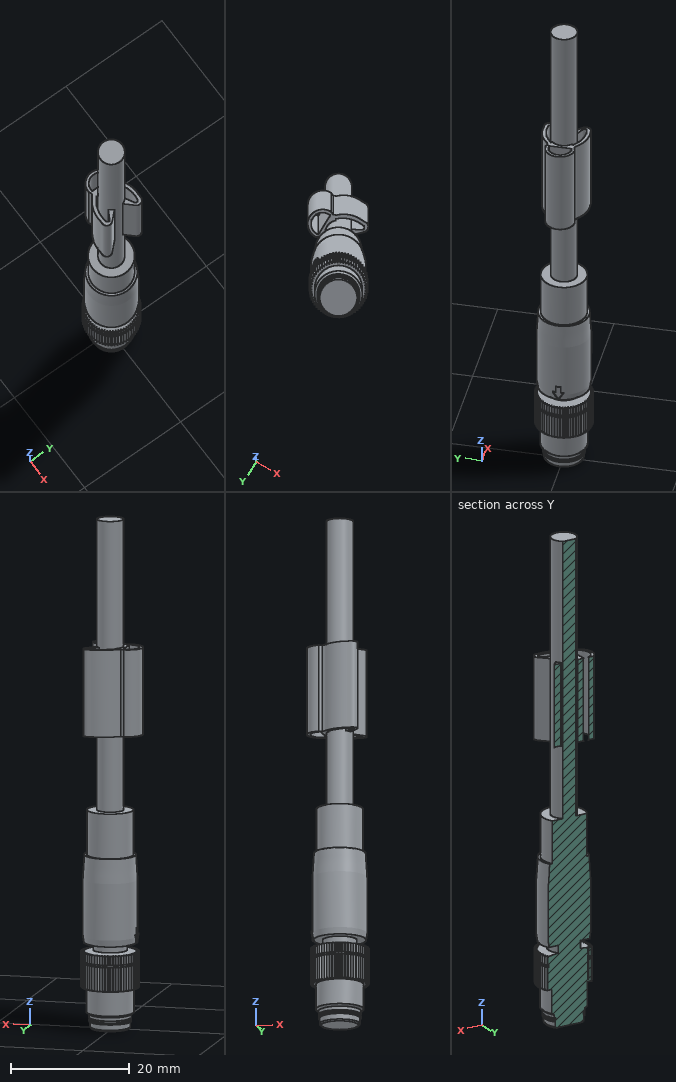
import cadquery as cq
import math

total_length = 87.3
overall_width = 10.6
ring_diameter = 9.9
cable_radius = 2.3

tip_chamfer = 0.3
tip_radius = 3.4
tip_rim_radius = 3.6
tip_groove_radius = 3.3
tip_rim_bottom = 1.2
tip_rim_top = 1.5
tip_groove_top = 1.8
tip_collar_top = 2.45
sleeve_bottom = 2.8
sleeve_radius = 4.0

ring_bottom = 7.1
ring_top = 13.45
ring_rim_top = 13.2
ring_radius = ring_diameter / 2
ring_chamfer = 0.2
ring_groove_bottom = 11.3
ring_groove_top = 11.6
tooth_count = 60
tooth_depth = 0.4

neck_radius = 2.9
body_bottom = 14.75
body_chamfer_top = 15.9
body_cone_bottom = 25.6
body_top = 29.8
body_radius = 4.6
body_bottom_radius = 4.45
body_top_radius = 4.4
grip_radius = 3.9
grip_top = 37.45

clip_bottom = 50.55
clip_top = 65.5
nose_radius = 2.5
nose_reach = overall_width - ring_radius
nose_center = nose_radius - nose_reach
nose_wall = 0.57
nose_pocket_flat = -2.8

arrow_tip = 14.8
arrow_shoulder = 16.3
arrow_top = 17.5
arrow_half_width = 1.0
stem_half_width = 0.4
arrow_relief = 0.1
arrow_reach = body_radius + arrow_relief


def make_plug():
    """Turned core from the mating end up through the cable."""
    profile = [
        (0, 0),
        (tip_radius - tip_chamfer, 0),
        (tip_radius, tip_chamfer),
        (tip_radius, tip_rim_bottom),
        (tip_rim_radius, tip_rim_bottom),
        (tip_rim_radius, tip_rim_top),
        (tip_groove_radius, tip_rim_top),
        (tip_groove_radius, tip_groove_top),
        (tip_rim_radius, tip_groove_top),
        (tip_rim_radius, tip_collar_top),
        (sleeve_radius, sleeve_bottom),
        (sleeve_radius, ring_bottom),
        (neck_radius, ring_bottom),
        (neck_radius, body_bottom),
        (body_bottom_radius, body_bottom),
        (body_radius, body_chamfer_top),
        (body_radius, body_cone_bottom),
        (body_top_radius, body_top),
        (grip_radius, body_top),
        (grip_radius, grip_top),
        (cable_radius, grip_top),
        (cable_radius, total_length),
        (0, total_length),
    ]
    return cq.Workplane("XZ").polyline(profile).close().revolve(360, (0, 0), (0, 1))


def make_knurled_ring():
    """Coupling ring with V-shaped teeth, a shallow conical top, a bottom chamfer and a thin groove."""
    root_radius = ring_radius - tooth_depth
    profile = [
        (0, ring_bottom),
        (ring_radius - ring_chamfer, ring_bottom),
        (ring_radius, ring_bottom + ring_chamfer),
        (ring_radius, ring_groove_bottom),
        (root_radius, ring_groove_bottom),
        (root_radius, ring_groove_top),
        (ring_radius, ring_groove_top),
        (ring_radius, ring_rim_top),
        (neck_radius, ring_top),
        (0, ring_top),
    ]
    blank = cq.Workplane("XZ").polyline(profile).close().revolve(360, (0, 0), (0, 1))

    teeth = []
    for half_step in range(2 * tooth_count):
        radius = root_radius if half_step % 2 else ring_radius
        angle = math.pi * half_step / tooth_count
        teeth.append((radius * math.cos(angle), radius * math.sin(angle)))
    toothed_bar = cq.Workplane("XY").workplane(offset=ring_bottom).polyline(teeth).close()
    return blank.intersect(toothed_bar.extrude(ring_top - ring_bottom))


def make_arrow():
    """Arrow pad pointing at the plug, standing slightly proud of the body."""
    half = [
        (stem_half_width, arrow_top),
        (stem_half_width, arrow_shoulder),
        (arrow_half_width, arrow_shoulder),
    ]
    mirrored = [(-y, z) for y, z in reversed(half)]
    outline = half + [(0, arrow_tip)] + mirrored
    return cq.Workplane("YZ").polyline(outline).close().extrude(-arrow_reach)


def make_clip():
    """Marker sleeve: hollow rounded nose toward -X and two hooked wings toward +X."""
    wing_corner = (2.9, 4.0)
    wing_side = (3.8, 3.05)
    wing_return = (3.6, 2.45)
    hook_end = (2.0, 0.8)
    barrel_middle = (0, 3.75)
    barrel_start = (-1.9, 2.5)
    wing_flat_start = (2.3, 4.0)
    notch = (-2.45, 2.3)
    nose_end_x = -3.0
    nose_end = (nose_end_x, math.sqrt(nose_radius**2 - (nose_end_x - nose_center) ** 2))

    def flip(point):
        return (point[0], -point[1])

    height = clip_top - clip_bottom
    base = cq.Workplane("XY").workplane(offset=clip_bottom)
    clip = (
        base.moveTo(*hook_end)
        .lineTo(*wing_return)
        .threePointArc(wing_side, wing_corner)
        .lineTo(*wing_flat_start)
        .threePointArc(barrel_middle, barrel_start)
        .lineTo(*notch)
        .lineTo(*nose_end)
        .threePointArc((-nose_reach, 0), flip(nose_end))
        .lineTo(*flip(notch))
        .lineTo(*flip(barrel_start))
        .threePointArc(flip(barrel_middle), flip(wing_flat_start))
        .lineTo(*flip(wing_corner))
        .threePointArc(flip(wing_side), flip(wing_return))
        .lineTo(*flip(hook_end))
        .close()
        .extrude(height)
    )

    pocket_radius = nose_radius - nose_wall
    nose_pocket = base.center(nose_center, 0).circle(pocket_radius).extrude(height)
    pocket_limit = base.center(nose_pocket_flat - nose_radius, 0)
    pocket_limit = pocket_limit.rect(2 * nose_radius, 2 * nose_radius).extrude(height)
    clip = clip.cut(nose_pocket.intersect(pocket_limit))

    hook_inner_start = (1.3, 1.7)
    hook_inner_end = (3.0, 2.5)
    pocket_tip = (3.2, 3.0)
    pocket_corner = (2.9, 3.3)
    pocket_roof = (0.2, 3.05)
    pocket_end = (-1.7, 1.9)
    inside_cable = (-1.3, 1.3)
    wing_pocket = (
        base.moveTo(*hook_inner_start)
        .lineTo(*hook_inner_end)
        .threePointArc(pocket_tip, pocket_corner)
        .threePointArc(pocket_roof, pocket_end)
        .lineTo(*inside_cable)
        .close()
        .extrude(height)
    )
    return clip.cut(wing_pocket).cut(wing_pocket.mirror("XZ"))


result = make_clip().union(make_plug()).union(make_knurled_ring()).union(make_arrow())